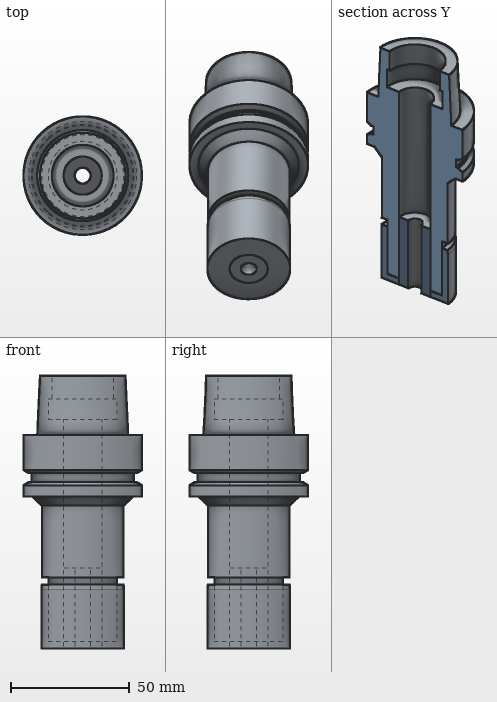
import cadquery as cq


total_height = 115.0
shoulder_z = 90.0
groove_top_z = 75.3
groove_bottom_z = 68.8
groove_flank_height = 1.4
flange_bottom_z = 64.0
body_top_z = 60.3
body_bottom_z = 30.0
nut_top_z = 26.9
nut_band_z = 24.8
nose_bottom_z = 3.0

flange_radius = 25.01
groove_radius = 21.6
groove_flank_radius = 22.8
flange_cone_radius = 21.2
body_radius = 17.2
nose_radius = 14.5
shank_top_radius = 18.0
shank_base_radius = 19.2

bore_radius = 13.0
undercut_radius = 14.5
bore_entry_depth = 9.8
bore_depth = 18.4

nut_radius = 17.5
nut_top_radius = 17.2
collet_radius = 8.0
collet_hole_radius = 3.3
collet_length = 34.0


def turned(outline):
    """Revolve a closed outline of (radius, z) points about the Z axis."""
    return cq.Workplane("XZ").polyline(outline).close().revolve(360, (0, 0, 0), (0, 1, 0))


def make_holder():
    bore_entry_z = total_height - bore_entry_depth
    bore_bottom_z = total_height - bore_depth
    shank_and_flange = [
        (bore_radius, total_height),
        (shank_top_radius, total_height),
        (shank_base_radius, shoulder_z),
        (flange_radius, shoulder_z),
        (flange_radius, groove_top_z),
        (groove_flank_radius, groove_top_z - groove_flank_height),
        (groove_radius, groove_top_z - groove_flank_height),
        (groove_radius, groove_bottom_z + groove_flank_height),
        (groove_flank_radius, groove_bottom_z + groove_flank_height),
        (flange_radius, groove_bottom_z),
        (flange_radius, flange_bottom_z),
    ]
    body_and_nose = [
        (flange_cone_radius, flange_bottom_z),
        (body_radius, body_top_z),
        (body_radius, body_bottom_z),
        (nose_radius, body_bottom_z),
        (nose_radius, nose_bottom_z),
    ]
    inside = [
        (collet_radius, nose_bottom_z),
        (collet_radius, bore_bottom_z),
        (undercut_radius, bore_bottom_z),
        (undercut_radius, bore_entry_z),
        (bore_radius, bore_entry_z),
    ]
    return turned(shank_and_flange + body_and_nose + inside)


def make_nut():
    """Nut that fits around the holder nose and closes under it, around the collet."""
    return turned([
        (collet_radius, 0),
        (nut_radius, 0),
        (nut_radius, nut_band_z),
        (nut_top_radius, nut_top_z),
        (nose_radius, nut_top_z),
        (nose_radius, nose_bottom_z),
        (collet_radius, nose_bottom_z),
    ])


def make_collet():
    """Straight sleeve in the holder and nut, flush with the lower face of the nut."""
    return cq.Workplane("XY").circle(collet_radius).circle(collet_hole_radius).extrude(collet_length)


holder = make_holder()
nut = make_nut()
collet = make_collet()

result = cq.Compound.makeCompound([holder.val(), nut.val(), collet.val()])